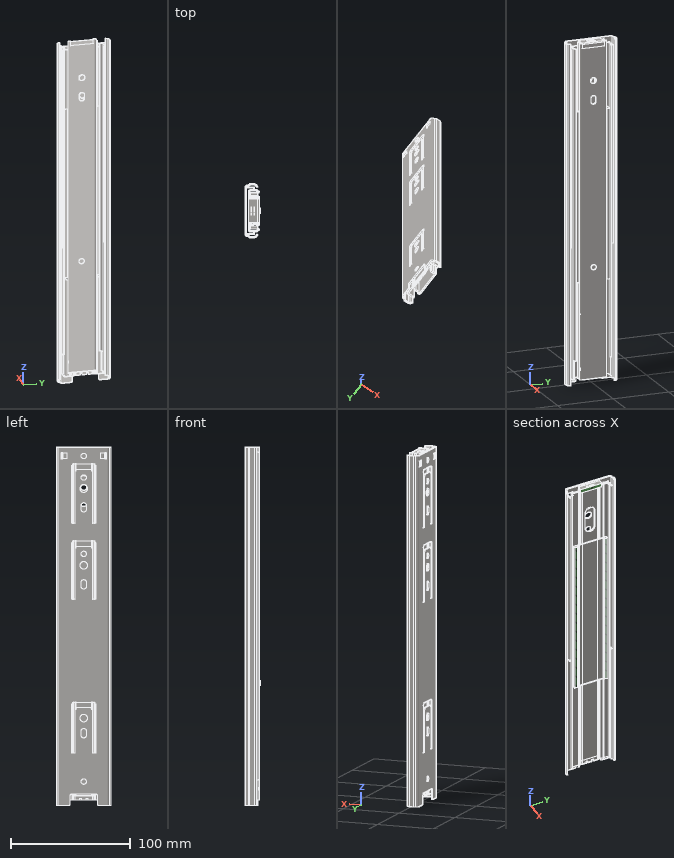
import cadquery as cq
import math


LENGTH = 300.0
HALF_WIDTH = 22.8
SHEET = 1.2

OUTER_WEB_X = (0, SHEET)
OUTER_SHOULDER = 21.5
SHOULDER_END_X = 2.7
OUTER_TRACK_X = (4.0, 7.8)
TRACK_ROLL = (9.5, 22.0)
OUTER_TIP = (10.8, 20.0)
OUTER_CORNER_R = 2.0
NOTCH_HALF_WIDTH = 11.5
NOTCH_HEIGHT = 9.5
NOTCH_R = 1.2
TONGUE_CUTS = [(286.0, 236.5), (221.5, 172.8), (86.5, 44.0)]
TONGUE_CUT_HALF_WIDTH = 10.2
TONGUE_HALF_WIDTH = 7.2
TONGUE_GAP = 4.5
TONGUE_CHAMFER = 1.5
SMALL_HOLE_D = 4.5
SMALL_HOLES = [292.5, 274.5, 210.5, 20.0]
LARGE_HOLE_D = 6.3
LARGE_HOLES = [265.2, 201.0, 73.2]
SLOTS = [(245.7, 253.2), (181.2, 189.0), (56.7, 64.5)]
WINDOW_Y = (14.0, 19.0)
WINDOW_Z = (290.5, 295.2)

MIDDLE_X = 2.7
CHANNEL_DEPTH = 0.5
CHANNEL_Y = (6.5, 7.2, 8.5, 9.3)
MIDDLE_HALF_WIDTH = 17.7
MIDDLE_Z = (4.5, 295.8)
MIDDLE_CORNER_R = 1.8
MIDDLE_BEND_X = 10.0
MIDDLE_LIP = (12.3, 16.0)
MIDDLE_LIP_BOTTOM = 21.5
STEP_Z = 8.0
STEP_DEPTH = 1.0
STEP_SLOPE_HEIGHT = 1.2
STEP_HALF_WIDTH = 10.0
END_NOTCH_WIDTH = 1.5
END_NOTCH_HEIGHT = 1.5
END_NOTCH_Y = 2.7
MIDDLE_WINDOW_WIDTH = 9.0
MIDDLE_WINDOW_Z = (250.5, 276.0)

INNER_X = 12.3
INNER_HALF_WIDTH = 12.3
INNER_SHOULDER_X = 10.2
INNER_GROOVE_X = (7.5, 9.3)
INNER_GROOVE_Y = 11.5
INNER_TIP_X = 6.5
INNER_CORNER_R = 1.5
INNER_BOTTOM = MIDDLE_Z[0]
INNER_HOLE_D = 5.0
INNER_HOLE_Z = 266.5
SIDE_NOTCH_SIZE = 1.8
SIDE_NOTCH_DEPTH = 0.5
SIDE_NOTCH_Z = 14.0
RIVET_D = 4.5
RIVET_HEIGHT = 0.5
RIVET_Z = 102.5

CAGE_SHEET = 1.0
OUTER_CAGE_X = (1.8, 7.8)
OUTER_CAGE_Y = (18.0, 19.8)
OUTER_CAGE_Z = (120.0, 294.0)
INNER_CAGE_X = (4.5, 10.8)
INNER_CAGE_HALF_WIDTH = 15.3
INNER_CAGE_SIDE = 2.7
INNER_CAGE_Z = (90.0, 240.0)

STOP_X = (MIDDLE_X, INNER_X)
STOP_HALF_WIDTH = 10.0
STOP_BEVEL_LENGTH = 1.8
STOP_BEVEL_HEIGHT = 0.5
GROOVE_WIDTH = 0.3
GROOVE_DEPTH = 0.5
GROOVE_X = (5.0, 7.8)
GROOVE_Y = [(-3.5, -2.0), (-1.0, 3.3)]


def box(x_range, y_range, z_range):
    """Block between two limits along each axis."""
    size = [high - low for low, high in (x_range, y_range, z_range)]
    corner = (x_range[0], y_range[0], z_range[0])
    return cq.Workplane("XY").box(*size, centered=False).translate(corner)


def offset_left(path, distance):
    """Points of an open path moved to its left, with mitred corners."""
    normals = []
    for (x0, y0), (x1, y1) in zip(path, path[1:]):
        run = math.hypot(x1 - x0, y1 - y0)
        normals.append((-(y1 - y0) / run, (x1 - x0) / run))
    before = [normals[0]] + normals
    after = normals + [normals[-1]]
    moved = []
    for (x, y), (ax, ay), (bx, by) in zip(path, before, after):
        stretch = distance / (1 + ax * bx + ay * by)
        moved.append((x + (ax + bx) * stretch, y + (ay + by) * stretch))
    return moved


def bent_sheet(half_skin, z_range, inward=1):
    """Channel from its outer skin, given from web to tip on the +Y side.

    The flanges point to +X if inward is 1, to -X if it is -1.
    """
    skin = [(x, -y) for x, y in reversed(half_skin)] + half_skin
    inside = offset_left(skin, -inward * SHEET)
    section = cq.Workplane("XY").polyline(skin + inside[::-1]).close()
    return section.extrude(z_range[1] - z_range[0]).translate((0, 0, z_range[0]))


def round_web_corners(rail, web_x, half_width, outer_r, inward=1):
    """Round the bends between web and flanges, inside and outside."""
    outside = (web_x, half_width, outer_r)
    inside = (web_x + inward * SHEET, half_width - SHEET, outer_r - SHEET)
    for x, y, radius in (outside, inside):
        for side in (-1, 1):
            bend = cq.selectors.NearestToPointSelector((x, side * y, LENGTH / 2))
            rail = rail.edges(bend).fillet(radius)
    return rail


def web_holes(web_x, diameter, heights):
    """Round cutters through a web that lies between two X values."""
    plane = cq.Workplane("YZ", origin=(web_x[0], 0, 0))
    holes = plane.pushPoints([(0, z) for z in heights]).circle(diameter / 2)
    return holes.extrude(web_x[1] - web_x[0])


def web_slot(web_x, width, z_range):
    """Round-ended upright cutter through a web that lies between two X values."""
    low, high = z_range
    plane = cq.Workplane("YZ", origin=(web_x[0], 0, (low + high) / 2))
    return plane.slot2D(high - low, width, 90).extrude(web_x[1] - web_x[0])


def tongue_cut(top, bottom):
    """U-shaped cutter that leaves a tongue hanging on to the web at its lower end."""
    opening = box(OUTER_WEB_X, (-TONGUE_CUT_HALF_WIDTH, TONGUE_CUT_HALF_WIDTH), (bottom, top))
    opening = opening.edges("|X and >Z").chamfer(TONGUE_CHAMFER)
    tongue = box(OUTER_WEB_X, (-TONGUE_HALF_WIDTH, TONGUE_HALF_WIDTH), (bottom, top - TONGUE_GAP))
    return opening.cut(tongue.edges("|X and >Z").chamfer(TONGUE_CHAMFER))


def end_notch():
    """Cutter for the outer rail's lower end, rounded inside and flared at its mouth."""
    mouth = NOTCH_HALF_WIDTH + NOTCH_R
    notch = (
        cq.Workplane("YZ")
        .moveTo(-mouth, 0)
        .radiusArc((-NOTCH_HALF_WIDTH, NOTCH_R), -NOTCH_R)
        .lineTo(-NOTCH_HALF_WIDTH, NOTCH_HEIGHT)
        .lineTo(NOTCH_HALF_WIDTH, NOTCH_HEIGHT)
        .lineTo(NOTCH_HALF_WIDTH, NOTCH_R)
        .radiusArc((mouth, 0), -NOTCH_R)
        .close()
        .extrude(SHEET)
    )
    return notch.edges("|X and >Z").fillet(NOTCH_R)


def make_outer_rail():
    """Widest rail, with tongues, screw holes and windows in its web."""
    half_skin = [
        (0, OUTER_SHOULDER),
        (SHOULDER_END_X, OUTER_SHOULDER),
        (OUTER_TRACK_X[0], HALF_WIDTH),
        (OUTER_TRACK_X[1], HALF_WIDTH),
        TRACK_ROLL,
        OUTER_TIP,
    ]
    rail = bent_sheet(half_skin, (0, LENGTH))
    rail = round_web_corners(rail, 0, OUTER_SHOULDER, OUTER_CORNER_R)
    rail = rail.cut(end_notch())
    for top, bottom in TONGUE_CUTS:
        rail = rail.cut(tongue_cut(top, bottom))
    rail = rail.cut(web_holes(OUTER_WEB_X, SMALL_HOLE_D, SMALL_HOLES))
    rail = rail.cut(web_holes(OUTER_WEB_X, LARGE_HOLE_D, LARGE_HOLES))
    for slot in SLOTS:
        rail = rail.cut(web_slot(OUTER_WEB_X, SMALL_HOLE_D, slot))
    window = box(OUTER_WEB_X, WINDOW_Y, WINDOW_Z)
    return rail.cut(window).cut(window.mirror("XZ"))


def web_step():
    """Cutter that sets back the lower end of the middle rail's web, ending in a slope."""
    low = MIDDLE_Z[0]
    profile = [
        (MIDDLE_X, low),
        (MIDDLE_X + STEP_DEPTH, low),
        (MIDDLE_X + STEP_DEPTH, STEP_Z),
        (MIDDLE_X, STEP_Z + STEP_SLOPE_HEIGHT),
    ]
    return cq.Workplane("XZ").polyline(profile).close().extrude(STEP_HALF_WIDTH, both=True)


def make_middle_rail():
    """Rail with a pressed channel in its web and lips along its flanges."""
    half_skin = [
        (MIDDLE_X + CHANNEL_DEPTH, CHANNEL_Y[0]),
        (MIDDLE_X + CHANNEL_DEPTH / 2, CHANNEL_Y[1]),
        (MIDDLE_X + CHANNEL_DEPTH / 2, CHANNEL_Y[2]),
        (MIDDLE_X, CHANNEL_Y[3]),
        (MIDDLE_X, MIDDLE_HALF_WIDTH),
        (MIDDLE_BEND_X, MIDDLE_HALF_WIDTH),
        MIDDLE_LIP,
    ]
    low, high = MIDDLE_Z
    web_x = (MIDDLE_X, MIDDLE_X + CHANNEL_DEPTH + SHEET)
    rail = bent_sheet(half_skin, MIDDLE_Z)
    rail = round_web_corners(rail, MIDDLE_X, MIDDLE_HALF_WIDTH, MIDDLE_CORNER_R)
    rail = rail.cut(web_slot(web_x, MIDDLE_WINDOW_WIDTH, MIDDLE_WINDOW_Z))
    rail = rail.cut(web_step())
    for y in (-END_NOTCH_Y, END_NOTCH_Y):
        across = (y - END_NOTCH_WIDTH / 2, y + END_NOTCH_WIDTH / 2)
        rail = rail.cut(box(web_x, across, (low, low + END_NOTCH_HEIGHT)))
    lip_x = (MIDDLE_BEND_X, MIDDLE_LIP[0])
    return rail.cut(box(lip_x, (-MIDDLE_HALF_WIDTH, MIDDLE_HALF_WIDTH), (low, MIDDLE_LIP_BOTTOM)))


def make_inner_rail():
    """Narrowest rail, opening towards the others, with a rivet head on its web."""
    half_skin = [
        (INNER_X, INNER_HALF_WIDTH),
        (INNER_SHOULDER_X, INNER_HALF_WIDTH),
        (INNER_GROOVE_X[1], INNER_GROOVE_Y),
        (INNER_GROOVE_X[0], INNER_GROOVE_Y),
        (INNER_TIP_X, INNER_HALF_WIDTH),
    ]
    web_x = (INNER_X - SHEET, INNER_X)
    rail = bent_sheet(half_skin, (INNER_BOTTOM, LENGTH), inward=-1)
    rail = round_web_corners(rail, INNER_X, INNER_HALF_WIDTH, INNER_CORNER_R, inward=-1)
    rail = rail.cut(web_holes(web_x, INNER_HOLE_D, [INNER_HOLE_Z]))
    rail = rail.cut(web_slot(web_x, SMALL_HOLE_D, SLOTS[0]))
    stop_seat = box(web_x, (-STOP_HALF_WIDTH, STOP_HALF_WIDTH), (MIDDLE_Z[1], LENGTH))
    side_notch = box(
        (INNER_X - SIDE_NOTCH_SIZE / 2, INNER_X),
        (-INNER_HALF_WIDTH, -INNER_HALF_WIDTH + SIDE_NOTCH_DEPTH),
        (SIDE_NOTCH_Z - SIDE_NOTCH_SIZE / 2, SIDE_NOTCH_Z + SIDE_NOTCH_SIZE / 2),
    )
    rivet_plane = cq.Workplane("YZ", origin=(INNER_X, 0, RIVET_Z))
    rivet = rivet_plane.circle(RIVET_D / 2).extrude(RIVET_HEIGHT)
    return rail.cut(stop_seat).cut(side_notch).union(rivet)


def make_outer_cage(side):
    """L-shaped strip between the outer and middle flanges; side is +1 or -1 along Y."""
    (x0, x1), (y0, y1) = OUTER_CAGE_X, OUTER_CAGE_Y
    cage = box((x0, x1), (y1 - CAGE_SHEET, y1), OUTER_CAGE_Z)
    cage = cage.union(box((x1 - CAGE_SHEET, x1), (y0, y1), OUTER_CAGE_Z))
    return cage if side > 0 else cage.mirror("XZ")


def make_inner_cage():
    """Channel between the middle and inner rails."""
    half = INNER_CAGE_HALF_WIDTH
    cage = box(INNER_CAGE_X, (-half, half), INNER_CAGE_Z)
    trough_half = half - INNER_CAGE_SIDE
    trough_x = (INNER_CAGE_X[0] + CAGE_SHEET, INNER_CAGE_X[1])
    return cage.cut(box(trough_x, (-trough_half, trough_half), INNER_CAGE_Z))


def make_end_stop():
    """Block on the top end of the middle rail, seated in the inner rail's web."""
    stop = box(STOP_X, (-STOP_HALF_WIDTH, STOP_HALF_WIDTH), (MIDDLE_Z[1], LENGTH))
    bevel = [
        (STOP_X[1], LENGTH),
        (STOP_X[1] - STOP_BEVEL_LENGTH, LENGTH),
        (STOP_X[1], LENGTH - STOP_BEVEL_HEIGHT),
    ]
    stop = stop.cut(cq.Workplane("XZ").polyline(bevel).close().extrude(STOP_HALF_WIDTH, both=True))
    for x in GROOVE_X:
        for y_range in GROOVE_Y:
            across = (x - GROOVE_WIDTH / 2, x + GROOVE_WIDTH / 2)
            stop = stop.cut(box(across, y_range, (LENGTH - GROOVE_DEPTH, LENGTH)))
    return stop


outer_rail = make_outer_rail()
middle_rail = make_middle_rail()
inner_rail = make_inner_rail()
outer_cages = [make_outer_cage(side) for side in (1, -1)]
inner_cage = make_inner_cage()
end_stop = make_end_stop()

result = cq.Compound.makeCompound([
    outer_rail.val(),
    middle_rail.val(),
    inner_rail.val(),
    *[cage.val() for cage in outer_cages],
    inner_cage.val(),
    end_stop.val(),
])